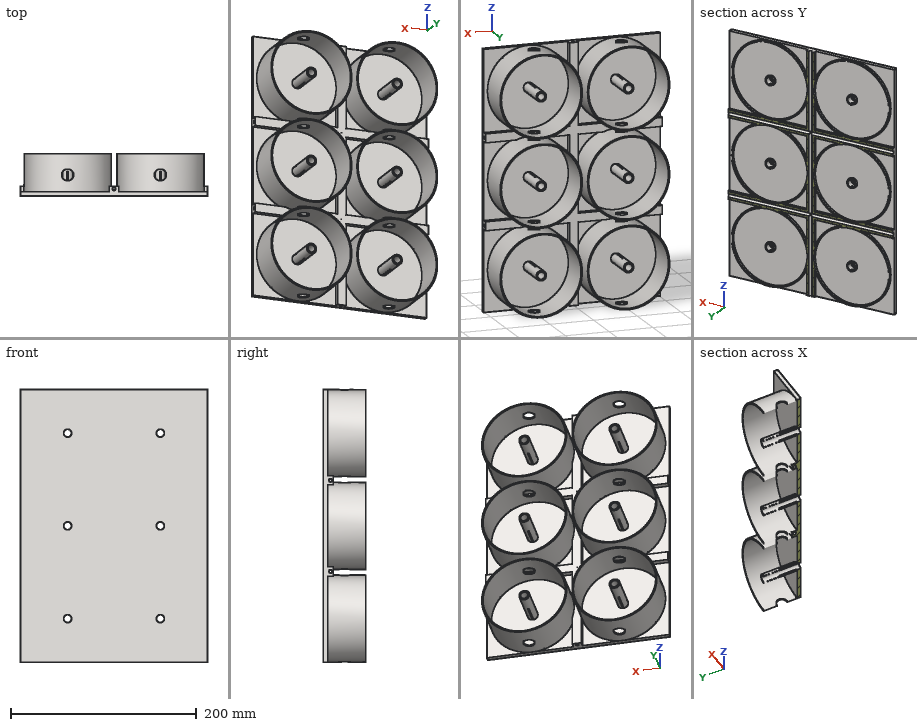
import cadquery as cq

plate_width = 202.0
plate_height = 294.0
plate_thickness = 5.0
depth = 46.0

columns = 2
rows = 3
cup_diameter = 94.0
cup_bore = 91.0
pitch = (plate_height - cup_diameter) / (rows - 1)

post_diameter = 11.5
post_bore = 8.2
slot_width = 1.0
slot_top = 26.5

cable_hole_diameter = 12.5
cable_hole_y = 23.0

rib_width = 10.0
rib_top = 11.0
rib_bore = 3.2
rib_bore_y = (plate_thickness + rib_top) / 2
horizontal_rib_offset = 49.0
horizontal_rib_heights = [-horizontal_rib_offset, horizontal_rib_offset]

column_centers = [(column - (columns - 1) / 2) * pitch for column in range(columns)]
row_centers = [(row - (rows - 1) / 2) * pitch for row in range(rows)]
cup_centers = [(x, z) for x in column_centers for z in row_centers]


def block(x_size, z_size, y_start, y_end, center=(0, 0)):
    """Box centred on an X, Z point and spanning a range of Y."""
    x, z = center
    y_middle = (y_start + y_end) / 2
    return cq.Workplane("XY", origin=(x, y_middle, z)).box(x_size, y_end - y_start, z_size)


def cylinders_at_cups(diameter, y_start, y_end):
    """Cylinders along Y at every cup centre."""
    return (
        cq.Workplane("XZ", origin=(0, y_start, 0))
        .pushPoints(cup_centers)
        .circle(diameter / 2)
        .extrude(y_start - y_end)
    )


def bore_along_x(diameter, y, z):
    """Cylinder along X over the full plate width."""
    plane = cq.Workplane("YZ", origin=(-plate_width / 2, y, z))
    return plane.circle(diameter / 2).extrude(plate_width)


def bore_along_z(diameter, x, y):
    """Cylinder along Z over the full plate height."""
    plane = cq.Workplane("XY", origin=(x, y, -plate_height / 2))
    return plane.circle(diameter / 2).extrude(plate_height)


result = block(plate_width, plate_height, 0, plate_thickness)
result = result.union(block(rib_width, plate_height, 0, rib_top))
for z in horizontal_rib_heights:
    result = result.union(block(plate_width, rib_width, 0, rib_top, (0, z)))

result = result.union(cylinders_at_cups(cup_diameter, 0, depth))
result = result.cut(cylinders_at_cups(cup_bore, plate_thickness, depth))

for x in column_centers:
    result = result.cut(bore_along_z(cable_hole_diameter, x, cable_hole_y))

posts = cylinders_at_cups(post_diameter, plate_thickness, depth)
for center in cup_centers:
    posts = posts.cut(block(slot_width, post_diameter, plate_thickness, slot_top, center))
result = result.union(posts)
result = result.cut(cylinders_at_cups(post_bore, 0, depth))

result = result.cut(bore_along_z(rib_bore, 0, rib_bore_y))
for z in horizontal_rib_heights:
    result = result.cut(bore_along_x(rib_bore, rib_bore_y, z))